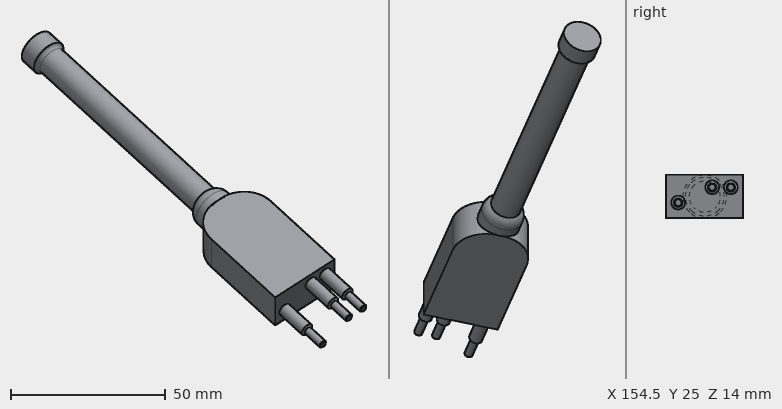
import cadquery as cq
import math

total_length = 154.5

cable_diameter = 10.0
cap_diameter = 12.5
cap_straight_length = 6.2
cap_fillet = 1.5

collar_diameter = 14.0
flare_radius = 4.2
collar_start = 88.5

body_start = 91.8
body_end = 135.0
body_width = 25.0
body_height = collar_diameter
body_corner_radius = 11.1

pin_diameter = 4.5
pin_tip_diameter = 2.8
sleeve_end = 146.3
shoulder_length = 0.5
tip_chamfer = 0.3
outer_pin_y = 8.5
middle_pin_y = 2.5
upper_pin_z = 3.0
lower_pin_z = -2.0
pin_centers = [
    (outer_pin_y, upper_pin_z),
    (middle_pin_y, upper_pin_z),
    (-outer_pin_y, lower_pin_z),
]


def arc_length_along_axis(radius, rise):
    """Axial length of an arc that is tangent to a cylinder and departs from it by rise."""
    return math.sqrt(radius**2 - (radius - rise) ** 2)


def make_cord():
    """Cap, cable and flared collar as one turned profile, ending inside the body."""
    cable_radius = cable_diameter / 2
    cap_radius = cap_diameter / 2
    collar_radius = collar_diameter / 2
    fillet_length = arc_length_along_axis(cap_fillet, cap_radius - cable_radius)
    fillet_end = cap_straight_length + fillet_length
    flare_length = arc_length_along_axis(flare_radius, collar_radius - cable_radius)
    flare_start = collar_start - flare_length
    collar_end = body_start + body_corner_radius
    profile = (
        cq.Workplane("XY")
        .lineTo(0, cap_radius)
        .lineTo(cap_straight_length, cap_radius)
        .radiusArc((fillet_end, cable_radius), -cap_fillet)
        .lineTo(flare_start, cable_radius)
        .radiusArc((collar_start, collar_radius), flare_radius)
        .lineTo(collar_end, collar_radius)
        .lineTo(collar_end, 0)
        .close()
    )
    return profile.revolve(360, (0, 0, 0), (1, 0, 0))


def make_body():
    """Flat plug body with its two cord-side corners rounded."""
    length = body_end - body_start
    return (
        cq.Workplane("XY")
        .box(length, body_width, body_height, centered=(False, True, True))
        .translate((body_start, 0, 0))
        .edges("|Z and <X")
        .fillet(body_corner_radius)
    )


def make_pin(y, z):
    """Stepped contact pin standing on the end face of the body."""
    radius = pin_diameter / 2
    tip_radius = pin_tip_diameter / 2
    profile = (
        cq.Workplane("XY")
        .moveTo(body_end, 0)
        .lineTo(body_end, radius)
        .lineTo(sleeve_end, radius)
        .lineTo(sleeve_end + shoulder_length, tip_radius)
        .lineTo(total_length - tip_chamfer, tip_radius)
        .lineTo(total_length, tip_radius - tip_chamfer)
        .lineTo(total_length, 0)
        .close()
    )
    return profile.revolve(360, (0, 0, 0), (1, 0, 0)).translate((0, y, z))


result = make_cord().union(make_body())
for pin_y, pin_z in pin_centers:
    result = result.union(make_pin(pin_y, pin_z))